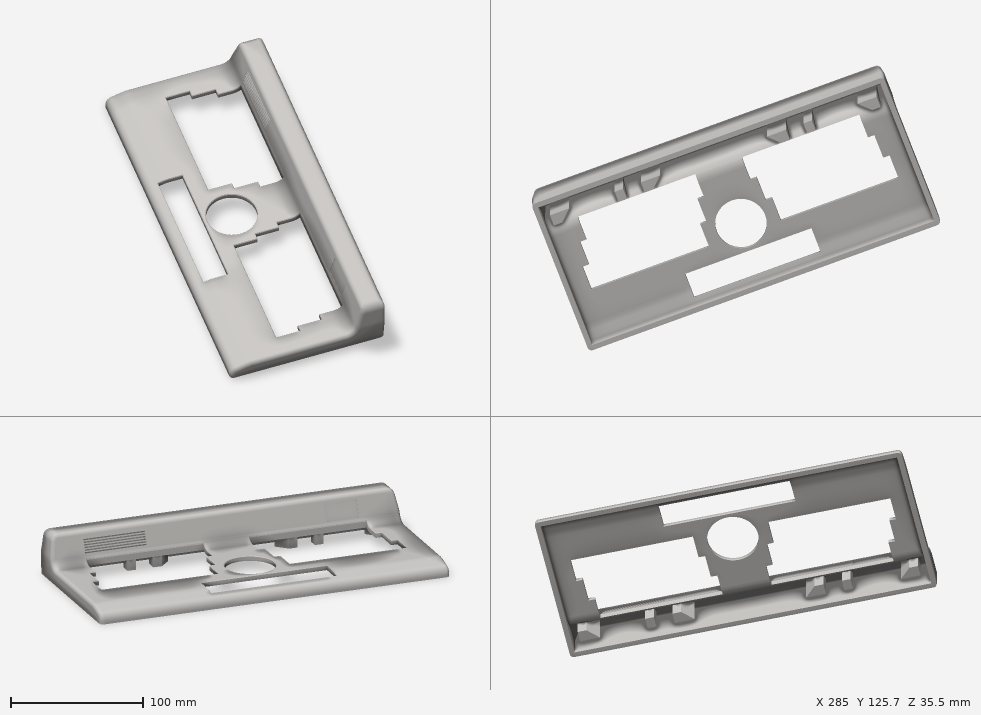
import cadquery as cq
import math

length = 285.0
depth = 125.7
height = 35.5
half_length = length / 2
back_y = depth / 2
front_y = -depth / 2

plate_top = 11.5
back_foot_y = 61.0
back_round_allowance = 0.3
back_top_y = back_y + back_round_allowance
ridge_front_y = 44.5
ridge_face_angle = math.radians(18.6)
ridge_back_round = 5.0
ridge_front_round = 4.3
ridge_root_round = 8.5
nose_bend_y = -46.7
nose_angle = math.radians(13.5)
nose_bend_round = 22.5
nose_tip_round = 6.8

end_lean_start = 17.5
end_lean_angle = math.radians(10)
end_bend_round = 20.0
end_top_round = 6.5
end_edge_round = 3.0

wall = 4.0

post_width = 6.8
post_depth = 8.5
post_front_y = 39.5
post_layout = ((52.0, True), (73.0, False), (125.5, True))

opening_back_y = 37.0
opening_front_y = -19.7
opening_inner_x = 18.8
opening_outer_x = 114.0
opening_step_x = 5.0
opening_step_ys = (18.5, -0.5)
opening_back_z = 14.8
rim_chamfer = 0.5

hole_diameter = 39.0
hole_y = -11.0
slot_length = 102.3
slot_center_x = 2.5
slot_back_y = -33.3
slot_front_y = -53.0

grille_center_x = -89.5
grille_length = 50.2
grille_slots = 6
grille_slot_height = 1.0
grille_pitch = 2 * grille_slot_height
grille_center_z = 24.2
grille_depth = 2.8
panel_center_x = 95.0
panel_width = 26.8
panel_height = 14.2
panel_center_z = 24.5
panel_depth = 0.3


def ridge_face_y(z):
    """Y of the sloping ridge face at height z."""
    return ridge_front_y - (height - z) * math.tan(ridge_face_angle)


def round_edge(body, point, radius):
    """Round the edge nearest to the point, together with the edges tangent to it."""
    return body.edges(cq.selectors.NearestToPointSelector(point)).fillet(radius)


def rounded_section(inset):
    """Long bar with the rounded cross-section, shrunk by the inset and reaching below Z = 0.

    The foot reaches two walls down, so the shrunk bar still passes through the base plane.
    """
    nose_tip_z = plate_top - (nose_bend_y - front_y) * math.tan(nose_angle)
    section_corners = [
        ((back_top_y, height), ridge_back_round),
        ((ridge_front_y, height), ridge_front_round),
        ((ridge_face_y(plate_top), plate_top), ridge_root_round),
        ((nose_bend_y, plate_top), nose_bend_round),
        ((front_y, nose_tip_z), nose_tip_round),
    ]
    foot = [(front_y, 0), (front_y, -2 * wall), (back_foot_y, -2 * wall), (back_foot_y, 0)]
    outline = foot + [corner for corner, _ in section_corners]
    bar = cq.Workplane("YZ").polyline(outline).close().extrude(half_length, both=True)
    for (y, z), radius in section_corners:
        bar = round_edge(bar, (0, y, z), radius)
    if inset:
        end_outline = bar.faces(">X").wires().toPending().offset2D(-inset)
        bar = end_outline.extrude(-length, combine=False)
    return bar


def rounded_ends(inset):
    """Deep bar with the leaning ends, shrunk by the inset at both ends."""
    end_x = half_length - inset
    end_top_x = end_x - (height - end_lean_start) * math.tan(end_lean_angle)
    bar = (
        cq.Workplane("XZ")
        .polyline([
            (-end_x, 0),
            (end_x, 0),
            (end_x, end_lean_start),
            (end_top_x, height),
            (-end_top_x, height),
            (-end_x, end_lean_start),
        ])
        .close()
        .extrude(depth, both=True)
    )
    for side in (-1, 1):
        bar = round_edge(bar, (side * end_x, 0, end_lean_start), end_bend_round)
        bar = round_edge(bar, (side * end_top_x, 0, height), end_top_round)
    return bar


def outer_form():
    form = rounded_section(0).intersect(rounded_ends(0))
    for side in (-1, 1):
        form = round_edge(form, (side * half_length, 0, plate_top), end_edge_round)
        form = round_edge(form, (side * half_length, back_foot_y, end_lean_start / 2), end_edge_round)
    return form


def cavity():
    """Inner space of the shell, open at the bottom."""
    return rounded_section(wall).intersect(rounded_ends(wall))


def opening_outline(side):
    """Corners of the stepped opening on one side: -1 for left, 1 for right."""
    outer = [(opening_outer_x, opening_back_y)]
    inner = [(opening_inner_x, opening_back_y)]
    for step, y in enumerate(opening_step_ys):
        for flank in (outer, inner):
            start_x = flank[0][0] + step * opening_step_x
            flank.append((start_x, y))
            flank.append((start_x + opening_step_x, y))
    for flank in (outer, inner):
        flank.append((flank[-1][0], opening_front_y))
    return [(side * x, y) for x, y in inner + outer[::-1]]


def slot_outline():
    left_x = slot_center_x - slot_length / 2
    right_x = slot_center_x + slot_length / 2
    return [
        (left_x, slot_front_y),
        (right_x, slot_front_y),
        (right_x, slot_back_y),
        (left_x, slot_back_y),
    ]


def rim_points(outline):
    """A point near each rim edge of an opening through the top."""
    points = []
    for (x0, y0), (x1, y1) in zip(outline, outline[1:] + outline[:1]):
        on_root_round = y0 == y1 == opening_back_y
        rim_z = opening_back_z if on_root_round else plate_top
        points.append(((x0 + x1) / 2, (y0 + y1) / 2, rim_z))
    return points


def cut_openings(body):
    """Cut the openings, the slot and the round hole, and chamfer all their upper rims."""
    points = [(0, hole_y, plate_top)]
    for outline in (opening_outline(-1), opening_outline(1), slot_outline()):
        body = body.cut(cq.Workplane("XY").polyline(outline).close().extrude(height))
        points += rim_points(outline)
    body = body.cut(cq.Workplane("XY").center(0, hole_y).circle(hole_diameter / 2).extrude(height))
    rims = [body.edges(cq.selectors.NearestToPointSelector(point)).val() for point in points]
    return body.newObject(rims).chamfer(rim_chamfer)


def posts():
    """Right-hand posts under the ridge; two of them have a 45 degree flank."""
    group = cq.Workplane("XY")
    for x, flanked in post_layout:
        back_x = x - post_depth if flanked else x
        post = (
            cq.Workplane("XY")
            .polyline([
                (x, post_front_y),
                (x + post_width, post_front_y),
                (x + post_width, post_front_y + post_depth),
                (back_x, post_front_y + post_depth),
            ])
            .close()
            .extrude(height)
        )
        group = group.union(post)
    return group


def ridge_face_plane(x, z):
    """Plane on the sloping ridge face: local X along the ridge, local Y up the slope."""
    outward = (0, -math.cos(ridge_face_angle), math.sin(ridge_face_angle))
    return cq.Workplane(cq.Plane(origin=(x, ridge_face_y(z), z), xDir=(1, 0, 0), normal=outward))


def grille():
    return (
        ridge_face_plane(grille_center_x, grille_center_z)
        .rarray(2.8, grille_pitch, 1, grille_slots)
        .rect(grille_length, grille_slot_height)
        .extrude(-grille_depth)
    )


def panel():
    return (
        ridge_face_plane(panel_center_x, panel_center_z)
        .rect(panel_width, panel_height)
        .extrude(-panel_depth)
    )


right_posts = posts()
both_posts = right_posts.union(right_posts.mirror("YZ"))
result = outer_form().cut(cavity().cut(both_posts))
result = cut_openings(result)
result = result.cut(grille()).cut(panel())